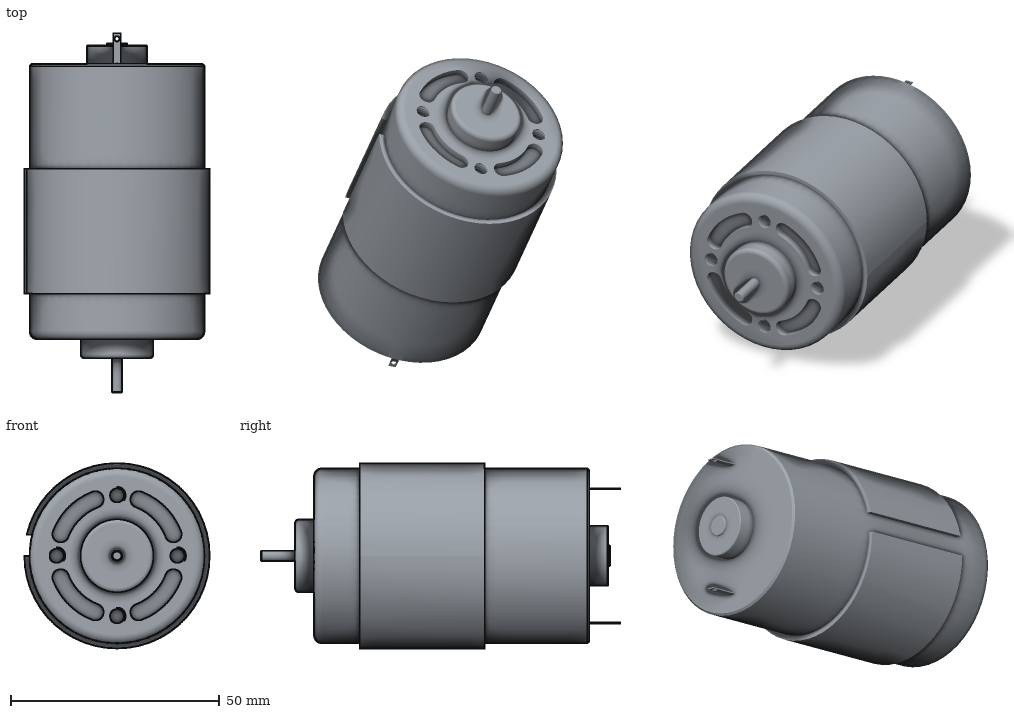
import cadquery as cq
import math


overall_length = 86.3

can_diameter = 42.0
can_length = 66.1
can_front_fillet = 2.0
can_rear_chamfer = 0.5

front_boss_diameter = 17.5
front_boss_length = 4.6
front_boss_fillet = 1.0
shaft_diameter = 2.5
shaft_protrusion = 8.2
shaft_chamfer = 0.2

rear_boss_diameter = 14.5
rear_boss_length = 4.5
rear_edge_chamfer = 0.2
rear_cap_diameter = 5.0
rear_cap_height = 0.5

terminal_width = 1.8
terminal_thickness = 0.3
terminal_length = overall_length - can_length - front_boss_length - shaft_protrusion
terminal_offset = 16.1
terminal_hole_diameter = 1.2
terminal_hole_inset = 1.4

pitch_radius = 14.5
slot_width = 4.0
slot_half_angle = 24
slot_depth = 2.0
hole_count = 4
hole_diameter = 3.4
hole_depth = 3.0
thread_diameter = 4.1
thread_pitch = 0.7
thread_groove_width = 0.6
thread_overlap = 0.1
thread_start_angle = -90

ring_diameter = 44.5
ring_length = 30.0
ring_front = 11.0
ring_gap = 5.0


def rod(diameter, start, length):
    """Solid cylinder on the motor axis, from Y = start toward +Y."""
    plane = cq.Workplane("XZ", origin=(0, start, 0))
    return plane.circle(diameter / 2).extrude(-length)


def make_can():
    can = rod(can_diameter, 0, can_length)
    can = can.faces("<Y").edges().fillet(can_front_fillet)
    return can.faces(">Y").edges().chamfer(can_rear_chamfer)


def make_front_boss():
    boss = rod(front_boss_diameter, -front_boss_length, front_boss_length)
    return boss.faces("<Y").edges().fillet(front_boss_fillet)


def make_shaft():
    shaft = rod(shaft_diameter, -front_boss_length - shaft_protrusion, shaft_protrusion)
    return shaft.faces("<Y").edges().chamfer(shaft_chamfer)


def make_rear_boss():
    boss = rod(rear_boss_diameter, can_length, rear_boss_length)
    boss = boss.faces(">Y").edges().chamfer(rear_edge_chamfer)
    cap = rod(rear_cap_diameter, can_length + rear_boss_length, rear_cap_height)
    cap = cap.faces(">Y").edges().chamfer(rear_edge_chamfer)
    return boss.union(cap)


def make_terminal(z):
    """Flat tab on the rear face of the can, pierced near its tip."""
    tab = cq.Workplane("XY").box(terminal_width, terminal_length, terminal_thickness)
    hole_y = terminal_length / 2 - terminal_hole_inset
    hole = cq.Workplane("XY").center(0, hole_y).circle(terminal_hole_diameter / 2)
    tab = tab.cut(hole.extrude(terminal_thickness, both=True))
    return tab.translate((0, can_length + terminal_length / 2, z))


def polar(radius, angle):
    """Point in the XZ plane, with the angle in degrees from +X toward +Z."""
    return (radius * math.cos(math.radians(angle)), radius * math.sin(math.radians(angle)))


def make_slot(mid_angle):
    """Arc-shaped pocket with round ends in the front face."""
    start = mid_angle - slot_half_angle
    end = mid_angle + slot_half_angle
    inner = pitch_radius - slot_width / 2
    outer = pitch_radius + slot_width / 2
    cap_angle = math.degrees(slot_width / 2 / pitch_radius)
    outline = (
        cq.Workplane("XZ")
        .moveTo(*polar(outer, start))
        .threePointArc(polar(outer, mid_angle), polar(outer, end))
        .threePointArc(polar(pitch_radius, end + cap_angle), polar(inner, end))
        .threePointArc(polar(inner, mid_angle), polar(inner, start))
        .threePointArc(polar(pitch_radius, start - cap_angle), polar(outer, start))
        .close()
    )
    return outline.extrude(-slot_depth)


def make_threaded_hole(angle):
    """Blind bore with a triangular helical thread groove, opening at the front face."""
    bore_radius = hole_diameter / 2
    groove_outer_radius = thread_diameter / 2
    groove_inner_radius = bore_radius - thread_overlap
    bore = cq.Workplane("XY").circle(bore_radius).extrude(hole_depth)
    half_groove = thread_groove_width / 2
    helix_height = hole_depth - thread_pitch
    helix = cq.Wire.makeHelix(thread_pitch, helix_height, bore_radius)
    groove = (
        cq.Workplane("XZ")
        .polyline([
            (groove_inner_radius, -half_groove),
            (groove_outer_radius, 0),
            (groove_inner_radius, half_groove),
        ])
        .close()
        .sweep(cq.Workplane(obj=helix), isFrenet=True)
    )
    tool = bore.union(groove)
    tool = tool.rotate((0, 0, 0), (0, 0, 1), thread_start_angle)
    tool = tool.rotate((0, 0, 0), (1, 0, 0), -90)
    x, z = polar(pitch_radius, angle)
    return tool.translate((x, 0, z))


def make_motor():
    motor = make_can().union(make_front_boss()).union(make_shaft()).union(make_rear_boss())
    for z in (-terminal_offset, terminal_offset):
        motor = motor.union(make_terminal(z))
    spacing = 360 / hole_count
    for i in range(hole_count):
        motor = motor.cut(make_threaded_hole(i * spacing))
        motor = motor.cut(make_slot((i + 0.5) * spacing))
    return motor


def make_flux_ring():
    """Split ring around the can; its gap is on the -X side, above the axis."""
    ring = rod(ring_diameter, ring_front, ring_length)
    ring = ring.cut(rod(can_diameter, ring_front, ring_length))
    gap = cq.Workplane("XY").box(ring_diameter, ring_length, ring_gap, centered=False)
    return ring.cut(gap.translate((-ring_diameter, ring_front, 0)))


motor = make_motor()
flux_ring = make_flux_ring()

result = cq.Compound.makeCompound([motor.solids().val(), flux_ring.solids().val()])